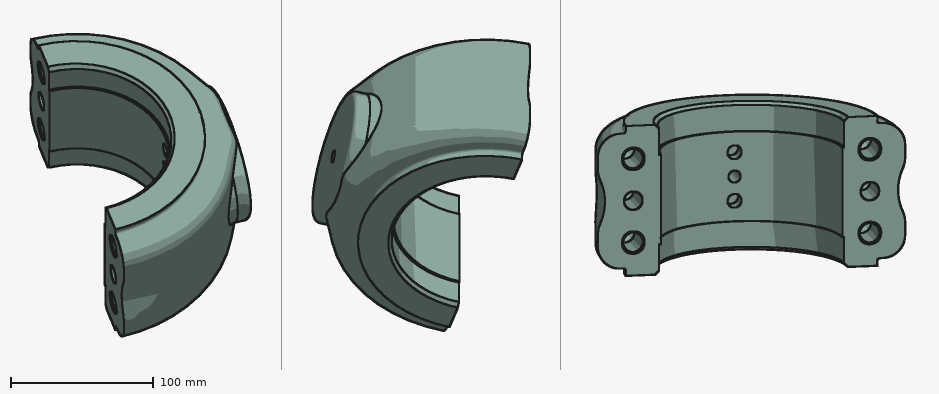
import cadquery as cq
import math

outer_radius = 110.0
body_half_height = 48.6
body_round = 16.0
flange_radius = 90.0
overall_height = 108.0
flange_half_height = overall_height / 2
flange_root_round = 2.2
flange_end_drop = 0.7

bore_radius = 65.0
counterbore_radius = 66.2
bore_half_height = 32.3
bore_chamfer = 2.9

shoulder_angle = 25.8
crown_y = 111.3
crown_blend = 22.0

pad_half_width = 55.0
pad_half_height = 40.0
pad_top = 112.0
pad_edge_round = 3.7
pad_flare_start = 101.2
pad_flare_angle = 20.0

recess_floor = 105.0
recess_radius = 37.5
recess_edge_round = 17.5

bolt_x = 84.7
bolt_z = 30.1
bolt_diameter = 14.0
bolt_chamfer = 1.0
dowel_diameter = 13.0
dowel_chamfer = 0.2
joint_hole_depth = 33.0
drill_tip_angle = 118.0

oil_diameter = 8.5
pin_diameter = 10.0
pin_spacing = 35.0
pin_depth = 13.2

pick_margin = 2.2


def crowned_body():
    """Half disc with a low flat crown on tangent shoulders, rounded along both outer rims."""
    tangent_x = outer_radius * math.sin(math.radians(shoulder_angle))
    tangent_y = outer_radius * math.cos(math.radians(shoulder_angle))
    crown_x = tangent_x - (crown_y - tangent_y) / math.tan(math.radians(shoulder_angle))
    flank_angle = math.radians((90 + shoulder_angle) / 2)
    flank_x = outer_radius * math.sin(flank_angle)
    flank_y = outer_radius * math.cos(flank_angle)
    return (
        cq.Workplane("XY", origin=(0, 0, -body_half_height))
        .moveTo(-outer_radius, 0)
        .threePointArc((-flank_x, flank_y), (-tangent_x, tangent_y))
        .lineTo(-crown_x, crown_y)
        .lineTo(crown_x, crown_y)
        .lineTo(tangent_x, tangent_y)
        .threePointArc((flank_x, flank_y), (outer_radius, 0))
        .close()
        .extrude(2 * body_half_height)
        .edges(cq.selectors.BoxSelector(
            (-tangent_x, crown_y - pick_margin, -pick_margin),
            (tangent_x, crown_y + pick_margin, pick_margin),
        ))
        .fillet(crown_blend)
        .faces("|Z")
        .edges("not(<Y)")
        .fillet(body_round)
    )


def flanges():
    """Raised end flanges with a concave round at their root."""
    root_end = flange_radius + flange_root_round
    root_top = body_half_height + flange_root_round
    root_diagonal = flange_root_round * (1 - math.sqrt(0.5))
    upper = (
        cq.Workplane("XZ")
        .lineTo(root_end, 0)
        .lineTo(root_end, body_half_height)
        .threePointArc(
            (flange_radius + root_diagonal, body_half_height + root_diagonal),
            (flange_radius, root_top),
        )
        .lineTo(flange_radius, flange_half_height)
        .lineTo(0, flange_half_height)
        .close()
        .revolve(360, (0, 0, 0), (0, 1, 0))
    )
    return upper.union(upper.mirror("XY"))


def stepped_bore():
    """Bore with a counterbore and a chamfered mouth at each end."""
    mouth_radius = counterbore_radius + bore_chamfer
    through = (
        cq.Workplane("XY", origin=(0, 0, -flange_half_height))
        .circle(bore_radius)
        .extrude(overall_height)
    )
    counterbore = (
        cq.Workplane("XZ")
        .moveTo(0, bore_half_height)
        .lineTo(counterbore_radius, bore_half_height)
        .lineTo(counterbore_radius, flange_half_height - bore_chamfer)
        .lineTo(mouth_radius, flange_half_height)
        .lineTo(0, flange_half_height)
        .close()
        .revolve(360, (0, 0, 0), (0, 1, 0))
    )
    return through.union(counterbore).union(counterbore.mirror("XY"))


def flange_envelope():
    """Wedge that tilts both flange faces slightly towards the far side."""
    far_y = outer_radius + body_round
    far_half_height = flange_half_height - flange_end_drop * far_y / flange_radius
    return (
        cq.Workplane("YZ")
        .polyline([
            (0, -flange_half_height),
            (far_y, -far_half_height),
            (far_y, far_half_height),
            (0, flange_half_height),
        ])
        .close()
        .extrude(outer_radius + body_round, both=True)
    )


def pad():
    """Elliptical pad on the crown, flaring out where it meets the ring."""
    skirt_depth = pad_flare_start - flange_radius
    base = cq.Workplane("XZ", origin=(0, pad_flare_start, 0))
    skirt = base.ellipse(pad_half_width, pad_half_height).extrude(skirt_depth, taper=-pad_flare_angle)
    disc = (
        base.ellipse(pad_half_width, pad_half_height)
        .extrude(pad_flare_start - pad_top)
        .faces(">Y")
        .fillet(pad_edge_round)
    )
    return disc.union(skirt)


def side_recess(side):
    """Shallow scoop in one flank, with its rim blended into the ring."""
    axis_x = side * (recess_floor + recess_radius)
    return (
        cq.Workplane("XZ", origin=(axis_x, 0, 0))
        .circle(recess_radius)
        .extrude(outer_radius, both=True)
    )


def recess_rims(body):
    """Curved edges left where the side recesses leave the outer surface."""
    return [
        edge for edge in body.edges().vals()
        if abs(edge.Center().x) > recess_floor - pick_margin
        and edge.geomType() not in ("LINE", "CIRCLE")
        and abs(edge.Center().z) < recess_radius
        and edge.BoundingBox().ymax < outer_radius / 2
        and edge.BoundingBox().ylen > pick_margin
    ]


def drilled_hole(x, z, diameter, chamfer):
    """Blind hole from the split face with a conical drill tip."""
    radius = diameter / 2
    tip = radius / math.tan(math.radians(drill_tip_angle / 2))
    return (
        cq.Workplane("XY")
        .polyline([
            (0, 0),
            (radius + chamfer, 0),
            (radius, chamfer),
            (radius, joint_hole_depth),
            (0, joint_hole_depth + tip),
        ])
        .close()
        .revolve(360, (0, 0, 0), (0, 1, 0))
        .translate((x, 0, z))
    )


def bore_hole(z, diameter, end_y):
    """Radial hole from the bore outwards to the given Y."""
    return cq.Workplane("XZ", origin=(0, 0, z)).circle(diameter / 2).extrude(-end_y)


result = crowned_body().union(flanges()).intersect(flange_envelope())

for side in (-1, 1):
    result = result.cut(side_recess(side))
result = result.newObject(recess_rims(result)).fillet(recess_edge_round)
result = result.union(pad()).cut(stepped_bore())

for side in (-1, 1):
    result = result.cut(drilled_hole(side * bolt_x, 0, dowel_diameter, dowel_chamfer))
    for level in (-bolt_z, bolt_z):
        result = result.cut(drilled_hole(side * bolt_x, level, bolt_diameter, bolt_chamfer))

result = result.cut(bore_hole(0, oil_diameter, pad_top))
for level in (-pin_spacing / 2, pin_spacing / 2):
    result = result.cut(bore_hole(level, pin_diameter, bore_radius + pin_depth))